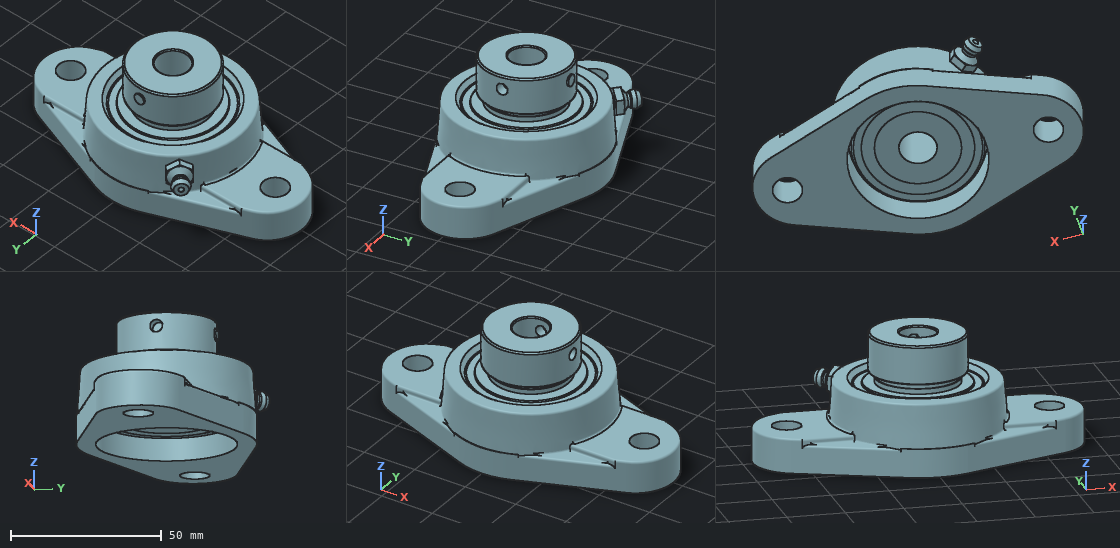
import cadquery as cq
import math

flange_length = 113.0
flange_width = 60.1
ear_end_radius = 15.0
side_arc_center_y = 2.0
ear_height = 12.3
ear_half_width = 15.4
pad_height = 10.1
rim_fillet = 1.0
root_fillet = 0.7
pad_rim_start_x = 12.7
arc_mid_share = 1 - math.sqrt(0.5)
bolt_hole_diameter = 10.0
bolt_hole_offset = 45.0

boss_base_radius = 29.8
boss_top_radius = 28.7
boss_height = 25.5
boss_top_fillet = 1.0
mouth_radius = 23.5
mouth_step_radius = 45.8 / 2
mouth_step_depth = 0.8
seat_radius = 23.5
seat_center_z = 15.5

outer_ring_half_width = 8.2
outer_ring_bore_radius = 37.6 / 2
outer_ring_chamfer = 0.6
seal_lip_radius = 37.2 / 2
seal_height = 0.6
inner_ring_radius = 28.9 / 2
inner_ring_shoulder_z = 26.1
neck_radius = 14.1
shaft_bore_radius = 12.7 / 2

collar_radius = 33.3 / 2
collar_bottom_z = 28.1
collar_top_z = 41.6
collar_top_chamfer = 0.6
collar_bottom_chamfer = 0.3
collar_bore_chamfer = 0.5
screw_diameter = 4.2
screw_z = 36.6
screw_inner_y = 10.2
screw_outer_y = 17.2
drift_hole_diameter = 4.2
drift_hole_depth = 4.5

nipple_z = 19.5
nipple_angle = 135.0
stem_radius = 5.0 / 2
stem_start = 25.4
hex_across_flats = 9.0
hex_start = 29.7
hex_end = 32.5
neck_start = 33.9
neck_step = 0.5
head_start = 35.7
head_waist_radius = 2.9
head_radius = 3.4
head_peak = 37.3
nipple_tip = 39.1
tip_radius = 2.6
ball_radius = 2.0 / 2
ball_center = 38.8

outer_ring_top_z = seat_center_z + outer_ring_half_width
outer_ring_bottom_z = seat_center_z - outer_ring_half_width
outer_ring_edge_radius = math.sqrt(seat_radius**2 - outer_ring_half_width**2)

ear_center_x = flange_length / 2 - ear_end_radius
side_arc_radius = flange_width / 2 - side_arc_center_y
flank_lean = math.atan2(side_arc_center_y, ear_center_x) + math.asin(
    (side_arc_radius - ear_end_radius) / math.hypot(ear_center_x, side_arc_center_y)
)
lean_sin = math.sin(flank_lean)
lean_cos = math.cos(flank_lean)
flank_distance = ear_center_x * lean_sin + ear_end_radius


def revolve_profile(points):
    """Solid of revolution about Z from (radius, z) points."""
    return cq.Workplane("XZ").polyline(points).close().revolve(360, (0, 0, 0), (0, 1, 0))


def flange_outline():
    """Two end arcs and two central arcs joined by their common tangents."""
    ex = ear_center_x + ear_end_radius * lean_sin
    ey = ear_end_radius * lean_cos
    cx = side_arc_radius * lean_sin
    cy = side_arc_center_y + side_arc_radius * lean_cos
    return (
        cq.Workplane("XY")
        .moveTo(-cx, cy)
        .threePointArc((0, flange_width / 2), (cx, cy))
        .lineTo(ex, ey)
        .threePointArc((flange_length / 2, 0), (ex, -ey))
        .lineTo(cx, -cy)
        .threePointArc((0, -flange_width / 2), (-cx, -cy))
        .lineTo(-ex, -ey)
        .threePointArc((-flange_length / 2, 0), (-ex, ey))
        .close()
    )


def flank_y(x, inset):
    """Y of the flank line at x, moved inward by inset."""
    return (flank_distance - inset - x * lean_sin) / lean_cos


def in_four_quarters(shape):
    """The shape and its mirror copies across the XZ and YZ planes."""
    pair = shape.union(shape.mirror("XZ"))
    return pair.union(pair.mirror("YZ"))


def ears():
    """Raised band that carries both bolt holes, with a rounded rim."""
    band = cq.Workplane("XY").box(flange_length, 2 * ear_half_width, 2 * ear_height)
    return flange_outline().extrude(ear_height).intersect(band).faces(">Z").edges().fillet(rim_fillet)


def boss():
    """Drafted round boss above the pads."""
    body = revolve_profile(
        [(0, pad_height), (boss_base_radius, pad_height), (boss_top_radius, boss_height), (0, boss_height)]
    )
    return body.faces(">Z").edges().fillet(boss_top_fillet)


def pad_rim_cutter():
    """Rounds the upper edge of one flank between the boss and the ear."""
    start = cq.Vector(pad_rim_start_x, flank_y(pad_rim_start_x, 0), pad_height)
    along = cq.Vector(lean_cos, -lean_sin, 0)
    outward = cq.Vector(lean_sin, lean_cos, 0)
    mid = rim_fillet * arc_mid_share
    rod = (
        cq.Workplane(cq.Plane(start, outward, along))
        .moveTo(-rim_fillet, 0)
        .threePointArc((-mid, -mid), (0, -rim_fillet))
        .lineTo(rim_fillet, -rim_fillet)
        .lineTo(rim_fillet, rim_fillet)
        .lineTo(-rim_fillet, rim_fillet)
        .close()
        .extrude(flange_length / 2)
    )
    ear_band = cq.Workplane("XY").box(2 * flange_length, 2 * ear_half_width, 2 * boss_height)
    boss_core = cq.Workplane("XY").circle(boss_base_radius).extrude(boss_height)
    return rod.cut(ear_band).cut(boss_core)


def boss_foot(z):
    """Ring with a concave outer side that rounds the foot of the boss at height z."""
    draft = (boss_base_radius - boss_top_radius) / (boss_height - pad_height)
    wall = boss_base_radius - draft * (z - pad_height)
    mid = root_fillet * arc_mid_share
    return (
        cq.Workplane("XZ")
        .moveTo(wall - root_fillet, z)
        .lineTo(wall + root_fillet, z)
        .threePointArc((wall + mid, z + mid), (wall - draft * root_fillet, z + root_fillet))
        .lineTo(wall - root_fillet, z + root_fillet)
        .close()
        .revolve(360, (0, 0, 0), (0, 1, 0))
    )


def pad_roots():
    """Concave fillets on one pad, along the ear flank and around the boss."""
    mid = root_fillet * arc_mid_share
    strip = (
        cq.Workplane("YZ")
        .moveTo(ear_half_width, pad_height)
        .lineTo(ear_half_width + root_fillet, pad_height)
        .threePointArc((ear_half_width + mid, pad_height + mid), (ear_half_width, pad_height + root_fillet))
        .close()
        .extrude(flange_length / 2)
    )
    inner_distance = flank_distance - rim_fillet
    corner_x = (inner_distance - ear_half_width * lean_cos) / lean_sin
    pad_area = (
        cq.Workplane("XY")
        .moveTo(0, ear_half_width)
        .lineTo(corner_x, ear_half_width)
        .lineTo(inner_distance * lean_sin, inner_distance * lean_cos)
        .close()
        .extrude(boss_height)
    )
    return strip.union(boss_foot(pad_height)).intersect(pad_area)


def ear_roots():
    """Concave fillets where the boss meets the flat tops of the ears."""
    flat_width = 2 * (ear_half_width - rim_fillet)
    return boss_foot(ear_height).intersect(cq.Workplane("XY").box(flange_length, flat_width, 2 * boss_height))


def seat_cutter():
    """Spherical seat, open downward as a cylinder and upward as a flared mouth."""
    step_z = boss_height - mouth_step_depth
    return (
        cq.Workplane("XZ")
        .moveTo(0, 0)
        .lineTo(seat_radius, 0)
        .lineTo(seat_radius, seat_center_z)
        .threePointArc(
            (
                math.sqrt(seat_radius**2 - (outer_ring_half_width / 2) ** 2),
                seat_center_z + outer_ring_half_width / 2,
            ),
            (outer_ring_edge_radius, outer_ring_top_z),
        )
        .lineTo(mouth_step_radius, step_z)
        .lineTo(mouth_radius, boss_height)
        .lineTo(0, boss_height)
        .close()
        .revolve(360, (0, 0, 0), (0, 1, 0))
    )


def along_nipple(shape):
    """Move a shape built along +Z from the bearing axis onto the nipple axis."""
    level = shape.rotate((0, 0, 0), (0, 1, 0), 90)
    return level.rotate((0, 0, 0), (0, 0, 1), nipple_angle).translate((0, 0, nipple_z))


def make_housing():
    body = (
        flange_outline()
        .extrude(pad_height)
        .cut(in_four_quarters(pad_rim_cutter()))
        .union(ears())
        .union(boss())
        .union(in_four_quarters(pad_roots()))
        .union(ear_roots())
        .cut(seat_cutter())
    )
    holes = (
        cq.Workplane("XY")
        .pushPoints([(-bolt_hole_offset, 0), (bolt_hole_offset, 0)])
        .circle(bolt_hole_diameter / 2)
        .extrude(ear_height)
    )
    stem_hole = along_nipple(
        cq.Workplane("XY").workplane(offset=stem_start).circle(stem_radius).extrude(hex_start - stem_start)
    )
    return body.cut(holes).cut(stem_hole)


def make_outer_ring():
    ring = (
        cq.Workplane("XZ")
        .moveTo(outer_ring_bore_radius, outer_ring_bottom_z)
        .lineTo(outer_ring_edge_radius, outer_ring_bottom_z)
        .threePointArc((seat_radius, seat_center_z), (outer_ring_edge_radius, outer_ring_top_z))
        .lineTo(outer_ring_bore_radius, outer_ring_top_z)
        .close()
        .revolve(360, (0, 0, 0), (0, 1, 0))
    )
    outer_edges = ring.faces("<Z or >Z").edges(cq.selectors.RadiusNthSelector(-1))
    return outer_edges.chamfer(outer_ring_chamfer)


def make_seal():
    top = outer_ring_top_z + seal_height
    return revolve_profile(
        [
            (inner_ring_radius, outer_ring_bottom_z),
            (outer_ring_bore_radius, outer_ring_bottom_z),
            (outer_ring_bore_radius, outer_ring_top_z),
            (seal_lip_radius, top),
            (inner_ring_radius, top),
        ]
    )


def make_inner_ring():
    return revolve_profile(
        [
            (shaft_bore_radius, outer_ring_bottom_z),
            (inner_ring_radius, outer_ring_bottom_z),
            (inner_ring_radius, inner_ring_shoulder_z),
            (neck_radius, inner_ring_shoulder_z),
            (neck_radius, collar_bottom_z),
            (shaft_bore_radius, collar_bottom_z),
        ]
    )


def screw_rod(start_y, end_y):
    """Rod along +Y on the set screw axis."""
    return (
        cq.Workplane("XZ", origin=(0, start_y, screw_z))
        .circle(screw_diameter / 2)
        .extrude(start_y - end_y)
    )


def make_collar():
    collar = (
        cq.Workplane("XY", origin=(0, 0, collar_bottom_z))
        .circle(collar_radius)
        .extrude(collar_top_z - collar_bottom_z)
        .faces("<Z")
        .chamfer(collar_bottom_chamfer)
        .faces(">Z")
        .chamfer(collar_top_chamfer)
        .faces(">Z")
        .workplane()
        .hole(2 * shaft_bore_radius)
    )
    bore_edge = collar.faces(">Z").edges(cq.selectors.RadiusNthSelector(0))
    collar = bore_edge.chamfer(collar_bore_chamfer)
    drift_hole = (
        cq.Workplane("YZ", origin=(collar_radius - drift_hole_depth, 0, screw_z))
        .circle(drift_hole_diameter / 2)
        .extrude(drift_hole_depth)
    )
    return collar.cut(screw_rod(0, collar_radius)).cut(drift_hole)


def make_set_screw():
    return screw_rod(screw_inner_y, screw_outer_y)


def make_check_ball():
    return along_nipple(cq.Workplane("XY", origin=(0, 0, ball_center)).sphere(ball_radius))


def make_nipple():
    turned = revolve_profile(
        [
            (0, stem_start),
            (stem_radius, stem_start),
            (stem_radius, hex_start),
            (hex_across_flats / 2, hex_start),
            (hex_across_flats / 2, hex_end),
            (head_waist_radius, neck_start),
            (stem_radius, neck_start + neck_step),
            (stem_radius, head_start - neck_step),
            (head_waist_radius, head_start),
            (head_radius, head_peak),
            (tip_radius, nipple_tip),
            (0, nipple_tip),
        ]
    )
    hexagon = (
        cq.Workplane("XY", origin=(0, 0, hex_start))
        .polygon(6, hex_across_flats / math.cos(math.radians(30)))
        .extrude(hex_end - hex_start)
    )
    return along_nipple(turned.union(hexagon)).cut(make_check_ball())


result = cq.Compound.makeCompound(
    [
        make_housing().val(),
        make_outer_ring().val(),
        make_seal().val(),
        make_inner_ring().val(),
        make_collar().val(),
        make_set_screw().val(),
        make_nipple().val(),
        make_check_ball().val(),
    ]
)